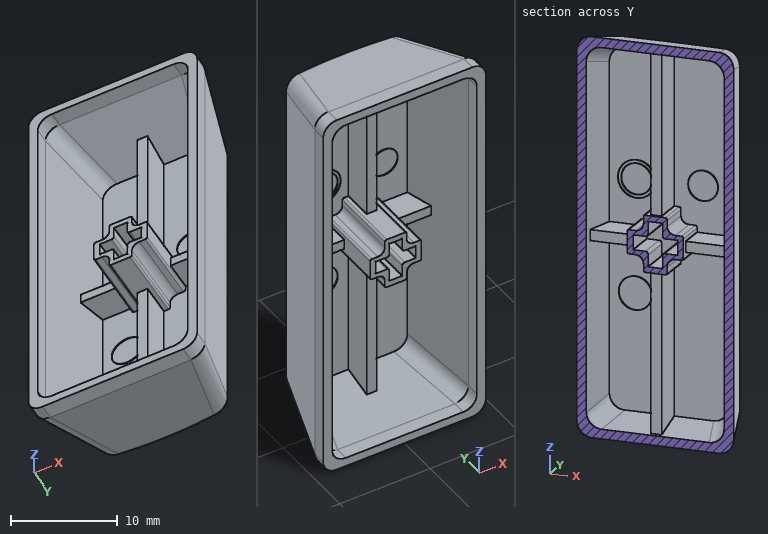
import cadquery as cq
import math

LENGTH = 41.8
WIDTH = 18.0
DEPTH = 11.12
WALL = 1.0
CORNER_RADIUS = 1.5

STRAIGHT = 1.5
TAPER = math.radians(15)

CROWN_RADIUS = 37.63
CROWN_FILLET = 0.5

CAVITY_DEPTH = 9.05

ROOT_OVERLAP = 0.5

RIB_THICKNESS = 1.1
LONG_RIB_START = 5.8
CROSS_RIB_START = 6.1

STEM_START = 1.55
STEM_HALF_SPAN = 2.85
STEM_HALF_ARM = 1.2
STEM_CORNER_RADIUS = 0.8
STEM_TIP_RADIUS = 0.2
SOCKET_HALF_SPAN = 2.2
SOCKET_HALF_ARM = 0.7
SOCKET_CORNER_RADIUS = 0.3

PLAIN_MARKS = [(3.43, 5.2, 1.5), (-3.4, -6.25, 1.67)]
RING_CENTER = (-3.25, 5.05)
RING_OUTER_RADIUS = 1.9
RING_INNER_RADIUS = 1.55
MARK_DEPTH = 0.1


def plane_at(y):
    """Workplane parallel to XZ that extrudes towards +Y; its local axes are -X and Z."""
    return cq.Workplane(cq.Plane(origin=(0, y, 0), xDir=(-1, 0, 0), normal=(0, 1, 0)))


def rounded_rectangle(width, length):
    return cq.Sketch().rect(width, length).vertices().fillet(CORNER_RADIUS)


def tapered_block(width, length, depth):
    """Rounded block that is straight near the rim and then narrows at the taper angle."""
    rise = depth - STRAIGHT
    shrink = 2 * rise * math.tan(TAPER)
    rim = rounded_rectangle(width, length)
    end = rounded_rectangle(width - shrink, length - shrink).moved(cq.Location(cq.Vector(0, 0, rise)))
    straight_part = plane_at(0).placeSketch(rim).extrude(STRAIGHT)
    leaning_part = plane_at(STRAIGHT).placeSketch(rim, end).loft()
    return straight_part.union(leaning_part)


def outer_body():
    crown = (
        cq.Workplane("XY", origin=(0, DEPTH - CROWN_RADIUS, 0))
        .circle(CROWN_RADIUS)
        .extrude(LENGTH, both=True)
    )
    body = tapered_block(WIDTH, LENGTH, DEPTH + STRAIGHT).intersect(crown)
    return body.faces(">Y").edges().fillet(CROWN_FILLET)


def cross_prism(start, half_span, half_arm, corner_radius, end):
    """Plus-shaped prism between two y positions with rounded inner corners."""
    span = 2 * half_span
    arm = 2 * half_arm
    bars = plane_at(start).rect(span, arm).extrude(end - start)
    bars = bars.union(plane_at(start).rect(arm, span).extrude(end - start))
    around_center = cq.selectors.BoxSelector(
        (-half_span + half_arm, start, -half_span + half_arm),
        (half_span - half_arm, end, half_span - half_arm),
    )
    return bars.edges("|Y").edges(around_center).fillet(corner_radius)


def cavity_filling():
    """Crossing ribs and stem, rooted in the roof so that they merge with it."""
    root = CAVITY_DEPTH + ROOT_OVERLAP
    long_rib = plane_at(LONG_RIB_START).rect(RIB_THICKNESS, LENGTH - WALL)
    long_rib = long_rib.extrude(root - LONG_RIB_START)
    cross_rib = plane_at(CROSS_RIB_START).rect(WIDTH - WALL, RIB_THICKNESS)
    cross_rib = cross_rib.extrude(root - CROSS_RIB_START)
    stem = cross_prism(STEM_START, STEM_HALF_SPAN, STEM_HALF_ARM, STEM_CORNER_RADIUS, root)
    stem = stem.edges("|Y").edges("<X or >X or <Z or >Z").fillet(STEM_TIP_RADIUS)
    socket = cross_prism(
        STEM_START, SOCKET_HALF_SPAN, SOCKET_HALF_ARM, SOCKET_CORNER_RADIUS, CAVITY_DEPTH
    )
    return long_rib.union(cross_rib).union(stem).cut(socket)


def floor_marks():
    """Shallow discs and one ring, to be cut into the cavity floor."""
    floor = plane_at(CAVITY_DEPTH)
    ring_x, ring_z = RING_CENTER
    ring = floor.center(-ring_x, ring_z).circle(RING_OUTER_RADIUS).circle(RING_INNER_RADIUS)
    marks = ring.extrude(MARK_DEPTH)
    for x, z, radius in PLAIN_MARKS:
        marks = marks.union(plane_at(CAVITY_DEPTH).center(-x, z).circle(radius).extrude(MARK_DEPTH))
    return marks


outer = outer_body()
cavity = tapered_block(WIDTH - 2 * WALL, LENGTH - 2 * WALL, CAVITY_DEPTH)
result = outer.cut(cavity.cut(cavity_filling())).cut(floor_marks())